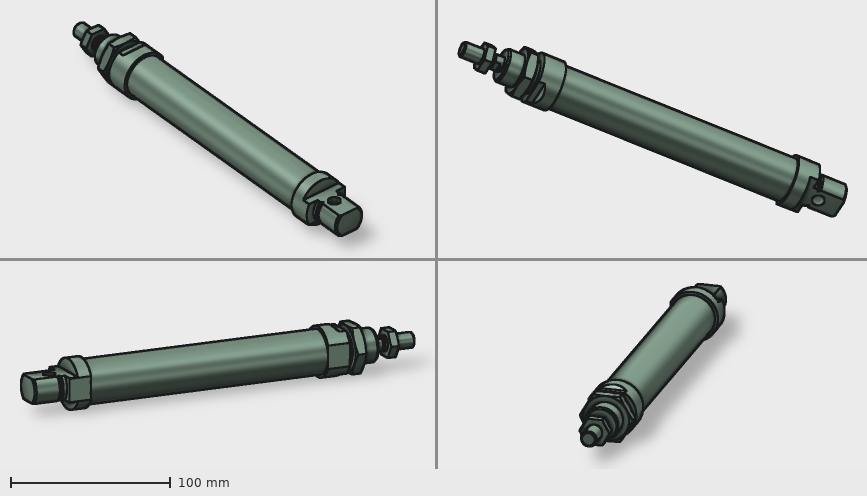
import cadquery as cq
import math

LENGTH = 266.0

HEX_SIDES = 6
CUTTER_CLEARANCE = 2.7

ROD_DIA = 10.0
ROD_TIP_DIA = 8.5
ROD_TIP_CHAMFER = 0.8
ROD_THREAD_END = 20.5
ROD_NECK_DIA = 8.8
ROD_NECK_END = 21.8
ROD_FLATS_WIDTH = 8.0
ROD_FLATS_END = 25.5

ROD_NUT_START = 13.3
ROD_NUT_THICKNESS = 5.5
ROD_NUT_WIDTH = 17.0
ROD_NUT_CHAMFER_ANGLE = 10.0

MOUNT_NUT_START = 38.8
MOUNT_NUT_THICKNESS = 7.2
MOUNT_NUT_WIDTH = 30.0
MOUNT_NUT_CHAMFER_ANGLE = 20.0

CAP_DIA = 33.0
CAP_FLAT_OFFSET = 14.5
TUBE_DIA = 29.0
NOSE_DIA = 22.0

HEAD_START = 27.7
NOSE_TIP_DIA = 20.2
NOSE_CHAMFER = 1.3
NOSE_GROOVE_DIA = 20.0
NOSE_GROOVE_START = 42.8
NOSE_GROOVE_END = 46.5
NOSE_GROOVE_SLOPE = 1.0
HEAD_CAP_START = 49.7
HEAD_CAP_END = 65.0
WRENCH_FLATS_WIDTH = 28.0
WRENCH_FLATS_LENGTH = 4.3

REAR_CAP_START = 229.0
REAR_FLATS_START = 238.0
REAR_CAP_END = 244.0
EYE_THICKNESS = 16.0
EYE_GROOVE_DIA = 20.2
EYE_GROOVE_START = 246.3
EYE_GROOVE_END = 249.0
EYE_GROOVE_SLOPE = 1.0
EYE_END_CHAMFER = 1.0
EYE_HOLE_DIA = 8.0
EYE_HOLE_X = 251.0


def turned(profile):
    """Solid of revolution about X from (x, diameter) pairs along its outline."""
    start, end = profile[0][0], profile[-1][0]
    outline = [(start, 0)] + [(x, diameter / 2) for x, diameter in profile] + [(end, 0)]
    return cq.Workplane("XY").polyline(outline).close().revolve(360, (0, 0, 0), (1, 0, 0))


def flat_cutters(start, end, flats_width, diameter, sloped):
    """Pair of cutters that leave flats at +Z and -Z; a sloped end rises at 45 degrees."""
    low = flats_width / 2
    high = diameter / 2 + CUTTER_CLEARANCE
    run = high - low if sloped else 0
    upper = (
        cq.Workplane("XZ")
        .polyline([(start, low), (end, low), (end + run, high), (start, high)])
        .close()
        .extrude(diameter, both=True)
    )
    return upper.union(upper.mirror("XY"))


def hex_nut(start, thickness, width, bore_dia, chamfer_angle, both_faces):
    """Hexagon nut along X with corners at +Y and -Y, chamfered conically on its -X face or both."""
    end = start + thickness
    corner_dia = width / math.cos(math.pi / HEX_SIDES)
    chamfer_depth = (corner_dia - width) / 2 * math.tan(math.radians(chamfer_angle))
    nut = (
        cq.Workplane("YZ", origin=(start, 0, 0))
        .polygon(HEX_SIDES, corner_dia)
        .circle(bore_dia / 2)
        .extrude(thickness)
    )
    profile = [(start, width), (start + chamfer_depth, corner_dia)]
    if both_faces:
        profile += [(end - chamfer_depth, corner_dia), (end, width)]
    else:
        profile += [(end, corner_dia)]
    return nut.intersect(turned(profile))


def make_rod():
    rod = turned([
        (0, ROD_TIP_DIA),
        (ROD_TIP_CHAMFER, ROD_DIA),
        (ROD_THREAD_END, ROD_DIA),
        (ROD_THREAD_END, ROD_NECK_DIA),
        (ROD_NECK_END, ROD_NECK_DIA),
        (ROD_NECK_END, ROD_DIA),
        (HEAD_START, ROD_DIA),
    ])
    return rod.cut(flat_cutters(ROD_NECK_END, ROD_FLATS_END, ROD_FLATS_WIDTH, ROD_DIA, sloped=True))


def cut_cap_side(cap, start, end):
    """Flatten the +Y side of a cap between two X positions."""
    side = cq.Workplane("XY").box(end - start, CAP_DIA, CAP_DIA, centered=(False, False, True))
    return cap.cut(side.translate((start, CAP_FLAT_OFFSET, 0)))


def make_head_cap():
    head = turned([
        (HEAD_START, NOSE_TIP_DIA),
        (HEAD_START + NOSE_CHAMFER, NOSE_DIA),
        (NOSE_GROOVE_START, NOSE_DIA),
        (NOSE_GROOVE_START, NOSE_GROOVE_DIA),
        (NOSE_GROOVE_END, NOSE_GROOVE_DIA),
        (NOSE_GROOVE_END + NOSE_GROOVE_SLOPE, NOSE_DIA),
        (HEAD_CAP_START, NOSE_DIA),
        (HEAD_CAP_START, CAP_DIA),
        (HEAD_CAP_END, CAP_DIA),
    ])
    head = cut_cap_side(head, HEAD_CAP_START, HEAD_CAP_END)
    flats_end = HEAD_CAP_START + WRENCH_FLATS_LENGTH
    return head.cut(flat_cutters(HEAD_CAP_START, flats_end, WRENCH_FLATS_WIDTH, CAP_DIA, sloped=True))


def make_tube():
    return turned([(HEAD_CAP_END, TUBE_DIA), (REAR_CAP_START, TUBE_DIA)])


def make_rear_cap():
    rear = turned([
        (REAR_CAP_START, CAP_DIA),
        (REAR_CAP_END, CAP_DIA),
        (REAR_CAP_END, NOSE_DIA),
        (EYE_GROOVE_START, NOSE_DIA),
        (EYE_GROOVE_START + EYE_GROOVE_SLOPE, EYE_GROOVE_DIA),
        (EYE_GROOVE_END - EYE_GROOVE_SLOPE, EYE_GROOVE_DIA),
        (EYE_GROOVE_END, NOSE_DIA),
        (LENGTH - EYE_END_CHAMFER, NOSE_DIA),
        (LENGTH, NOSE_DIA - 2 * EYE_END_CHAMFER),
    ])
    rear = cut_cap_side(rear, REAR_CAP_START, REAR_CAP_END)
    rear = rear.cut(flat_cutters(REAR_FLATS_START, LENGTH, EYE_THICKNESS, CAP_DIA, sloped=False))
    hole = (
        cq.Workplane("XY")
        .center(EYE_HOLE_X, 0)
        .circle(EYE_HOLE_DIA / 2)
        .extrude(EYE_THICKNESS, both=True)
    )
    return rear.cut(hole)


rod = make_rod()
rod_nut = hex_nut(
    ROD_NUT_START, ROD_NUT_THICKNESS, ROD_NUT_WIDTH, ROD_DIA, ROD_NUT_CHAMFER_ANGLE, both_faces=False
)
head_cap = make_head_cap()
mount_nut = hex_nut(
    MOUNT_NUT_START, MOUNT_NUT_THICKNESS, MOUNT_NUT_WIDTH, NOSE_DIA, MOUNT_NUT_CHAMFER_ANGLE, both_faces=True
)
tube = make_tube()
rear_cap = make_rear_cap()

result = cq.Compound.makeCompound([
    rod.val(), rod_nut.val(), head_cap.val(), mount_nut.val(), tube.val(), rear_cap.val(),
])